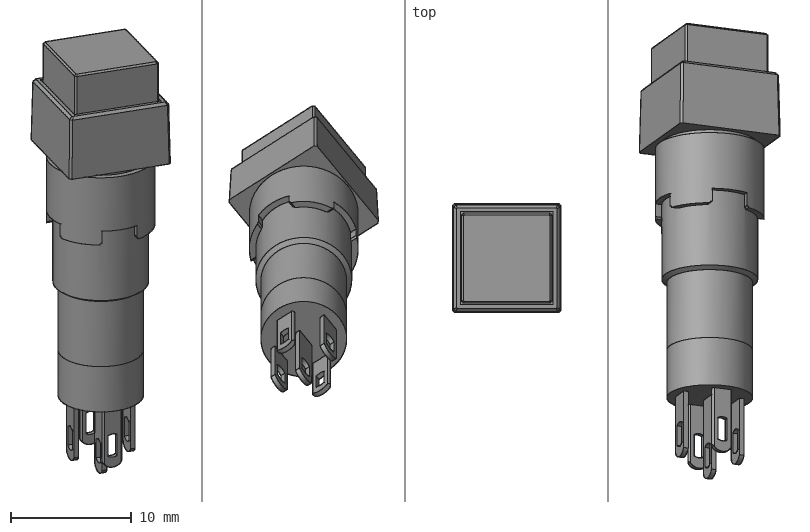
import cadquery as cq
import math

BASE_BOTTOM_Z = 7.0
BASE_TOP_Z = 11.1
SHOULDER_BOTTOM_Z = 17.0
SHOULDER_TOP_Z = 17.25
RING_BOTTOM_Z = 22.5
RING_TOP_Z = 28.58
BEZEL_BOTTOM_Z = 29.0
BEZEL_TOP_Z = 34.5
BUTTON_TOP_Z = 38.0

LOWER_DIAMETER = 7.1
BARREL_DIAMETER = 7.95
RING_DIAMETER = 9.0
NOTCH_WIDTH = 3.1
NOTCH_HEIGHT = 1.25
NOTCH_CORNER_RADIUS = 0.15

BEZEL_WIDTH = 9.0
BEZEL_TOP_WIDTH = 8.78
BEZEL_CORNER_CHAMFER = 0.2
BEZEL_TOP_CHAMFER = 0.23

BUTTON_WIDTH = 7.45
BUTTON_CHAMFER = 0.15
BUTTON_GAP = 0.1
POCKET_DEPTH = 1.15

TERMINAL_WIDTH = 1.75
TERMINAL_THICKNESS = 0.4
TERMINAL_OFFSET = 2.5
TIP_RADIUS = 1.0
OUTER_TIP_Z = 1.55
SLOT_ABOVE_TIP = 0.9
SLOT_HEIGHT = 2.1
SLOT_END_RADIUS = 0.75
FLAT_SLOT_WIDTH = 1.03
ROUNDED_SLOT_WIDTH = 0.8
ROUNDED_EDGE_RADIUS = 0.23


def cylinder(diameter, bottom_z, top_z):
    """Upright cylinder on the Z axis."""
    return cq.Workplane("XY").workplane(offset=bottom_z).circle(diameter / 2).extrude(top_z - bottom_z)


def arc_sag(radius, chord):
    """Height of a circular arc over its chord."""
    return radius - math.sqrt(radius**2 - (chord / 2) ** 2)


def make_button():
    """Square button with chamfered edges, standing on the floor of the bezel pocket."""
    pocket_floor_z = BEZEL_TOP_Z - POCKET_DEPTH
    block = (
        cq.Workplane("XY")
        .workplane(offset=pocket_floor_z)
        .rect(BUTTON_WIDTH, BUTTON_WIDTH)
        .extrude(BUTTON_TOP_Z - pocket_floor_z)
    )
    return block.edges("|Z").chamfer(BUTTON_CHAMFER).faces(">Z").chamfer(BUTTON_CHAMFER)


def make_bezel():
    """Tapered square block with a square pocket that leaves a gap around the button."""
    height = BEZEL_TOP_Z - BEZEL_BOTTOM_Z
    draft = math.degrees(math.atan2((BEZEL_WIDTH - BEZEL_TOP_WIDTH) / 2, height))
    block = (
        cq.Workplane("XY")
        .workplane(offset=BEZEL_BOTTOM_Z)
        .rect(BEZEL_WIDTH, BEZEL_WIDTH)
        .extrude(height, taper=draft)
    )
    block = block.edges("not #Z").chamfer(BEZEL_CORNER_CHAMFER).faces(">Z").chamfer(BEZEL_TOP_CHAMFER)
    pocket_width = BUTTON_WIDTH + 2 * BUTTON_GAP
    pocket = (
        cq.Workplane("XY")
        .workplane(offset=BEZEL_TOP_Z)
        .rect(pocket_width, pocket_width)
        .extrude(-POCKET_DEPTH)
    )
    return block.cut(pocket)


def make_ring():
    """Ring with four notches in its lower rim; the ends of the teeth have rounded corners."""
    ring = cylinder(RING_DIAMETER, RING_BOTTOM_Z, RING_TOP_Z)
    half = NOTCH_WIDTH / 2
    r = NOTCH_CORNER_RADIUS
    notch = (
        cq.Workplane("XZ", origin=(0, 0, RING_BOTTOM_Z))
        .moveTo(-half - r, 0)
        .radiusArc((-half, r), r)
        .lineTo(-half, NOTCH_HEIGHT)
        .lineTo(half, NOTCH_HEIGHT)
        .lineTo(half, r)
        .radiusArc((half + r, 0), r)
        .close()
        .extrude(RING_DIAMETER)
    )
    for side in range(4):
        ring = ring.cut(notch.rotate((0, 0, 0), (0, 0, 1), 90 * side))
    return ring


def make_housing():
    """Bezel, barrel and ring."""
    shoulder = (
        cylinder(BARREL_DIAMETER, SHOULDER_BOTTOM_Z, BEZEL_BOTTOM_Z)
        .faces("<Z")
        .chamfer(SHOULDER_TOP_Z - SHOULDER_BOTTOM_Z, (BARREL_DIAMETER - LOWER_DIAMETER) / 2)
    )
    lower = cylinder(LOWER_DIAMETER, BASE_TOP_Z, SHOULDER_BOTTOM_Z)
    return shoulder.union(lower).union(make_ring()).union(make_bezel())


def round_edged_bar(bottom_z):
    """Upright bar of the terminal's width and thickness, with bulging narrow sides."""
    half_width = TERMINAL_WIDTH / 2
    half_thickness = TERMINAL_THICKNESS / 2
    flat_half = half_width - arc_sag(ROUNDED_EDGE_RADIUS, TERMINAL_THICKNESS)
    return (
        cq.Workplane("XY")
        .workplane(offset=bottom_z)
        .moveTo(-flat_half, -half_thickness)
        .lineTo(flat_half, -half_thickness)
        .threePointArc((half_width, 0), (flat_half, half_thickness))
        .lineTo(-flat_half, half_thickness)
        .threePointArc((-half_width, 0), (-flat_half, -half_thickness))
        .close()
        .extrude(BASE_BOTTOM_Z - bottom_z)
    )


def make_terminal(tip_z, slot_width, rounded_edges):
    """Terminal on the Z axis, broad side facing Y, with an arched tip and a slot with arched ends."""
    half = TERMINAL_WIDTH / 2
    tip_sag = arc_sag(TIP_RADIUS, TERMINAL_WIDTH)
    blade = (
        cq.Workplane("XZ")
        .moveTo(-half, BASE_BOTTOM_Z)
        .lineTo(-half, tip_z + tip_sag)
        .threePointArc((0, tip_z), (half, tip_z + tip_sag))
        .lineTo(half, BASE_BOTTOM_Z)
        .close()
        .extrude(TERMINAL_THICKNESS / 2, both=True)
    )
    if rounded_edges:
        blade = blade.intersect(round_edged_bar(tip_z))
    slot_half = slot_width / 2
    slot_sag = arc_sag(SLOT_END_RADIUS, slot_width)
    bottom_z = tip_z + SLOT_ABOVE_TIP
    top_z = bottom_z + SLOT_HEIGHT
    slot = (
        cq.Workplane("XZ")
        .moveTo(-slot_half, bottom_z + slot_sag)
        .threePointArc((0, bottom_z), (slot_half, bottom_z + slot_sag))
        .lineTo(slot_half, top_z - slot_sag)
        .threePointArc((0, top_z), (-slot_half, top_z - slot_sag))
        .close()
        .extrude(TERMINAL_THICKNESS, both=True)
    )
    return blade.cut(slot)


def make_base():
    """Round base with a long centre terminal and four shorter ones around it."""
    base = cylinder(LOWER_DIAMETER, BASE_BOTTOM_Z, BASE_TOP_Z)
    base = base.union(make_terminal(0, FLAT_SLOT_WIDTH, False))
    flat = make_terminal(OUTER_TIP_Z, FLAT_SLOT_WIDTH, False)
    rounded = make_terminal(OUTER_TIP_Z, ROUNDED_SLOT_WIDTH, True).rotate((0, 0, 0), (0, 0, 1), 90)
    for side in (-1, 1):
        base = base.union(flat.translate((0, side * TERMINAL_OFFSET, 0)))
        base = base.union(rounded.translate((side * TERMINAL_OFFSET, 0, 0)))
    return base


button = make_button()
housing = make_housing()
base = make_base()

result = cq.Compound.makeCompound([button.val(), housing.val(), base.val()])